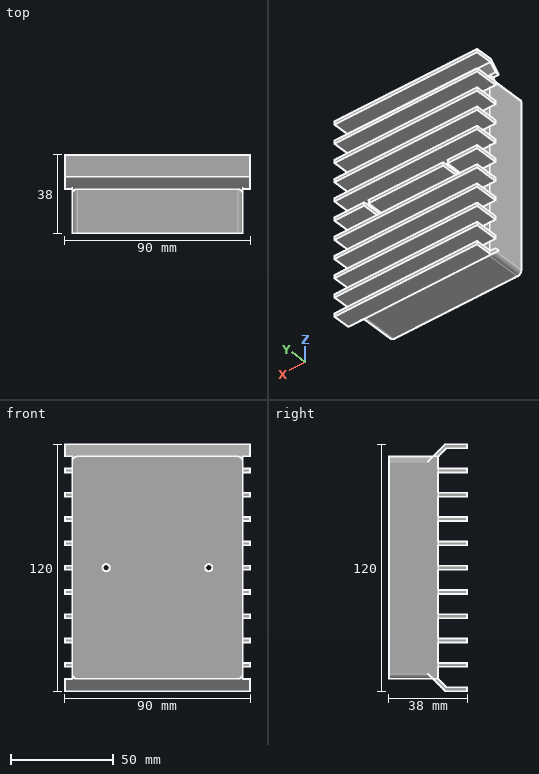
import cadquery as cq

overall_width = 90.0
overall_height = 120.0

block_width = 82.9
block_height = 108.0
block_depth = 24.0
corner_radius = 2.5

fin_length = 14.0
fin_thickness = 2.0
fin_count = 9
slope_width = 2.5
fin_pitch = (overall_height - fin_thickness) / (fin_count + 1)

hole_diameter = 3.4
hole_spacing = 49.8

half_block = block_height / 2
half_height = overall_height / 2
flange_rise = half_height - half_block
outer_bend_y = flange_rise - slope_width
inner_bend_y = flange_rise - fin_thickness


def make_block():
    """Block with rounded corners in front and square corners behind the flange slopes."""
    rounded = (
        cq.Workplane("XY")
        .box(block_width, block_depth, block_height)
        .edges("|Y")
        .fillet(corner_radius)
        .translate((0, -block_depth / 2, 0))
    )
    root_front_y = -slope_width - corner_radius
    root_inner_z = half_block - corner_radius
    square_root = (
        cq.Workplane("YZ")
        .polyline([
            (0, half_block),
            (-slope_width, half_block),
            (root_front_y, root_inner_z),
            (0, root_inner_z),
        ])
        .close()
        .extrude(block_width / 2, both=True)
    )
    return rounded.union(square_root).union(square_root.mirror("XY"))


def make_fin(z):
    """Flat fin centred at height z, reaching back from the block."""
    return (
        cq.Workplane("XY")
        .box(overall_width, fin_length, fin_thickness)
        .translate((0, fin_length / 2, z))
    )


def make_top_flange():
    """Bent end plate rising from the block's top back edge to the full height."""
    return (
        cq.Workplane("YZ")
        .polyline([
            (0, half_block),
            (inner_bend_y, half_height - fin_thickness),
            (fin_length, half_height - fin_thickness),
            (fin_length, half_height),
            (outer_bend_y, half_height),
            (-slope_width, half_block),
        ])
        .close()
        .extrude(overall_width / 2, both=True)
    )


body = make_block()

for index in range(fin_count):
    body = body.union(make_fin((index - (fin_count - 1) / 2) * fin_pitch))

top_flange = make_top_flange()
body = body.union(top_flange).union(top_flange.mirror("XY"))

mounting_holes = (
    cq.Workplane("XZ", origin=(0, fin_length, 0))
    .pushPoints([(-hole_spacing / 2, 0), (hole_spacing / 2, 0)])
    .circle(hole_diameter / 2)
    .extrude(fin_length + block_depth)
)

result = body.cut(mounting_holes)